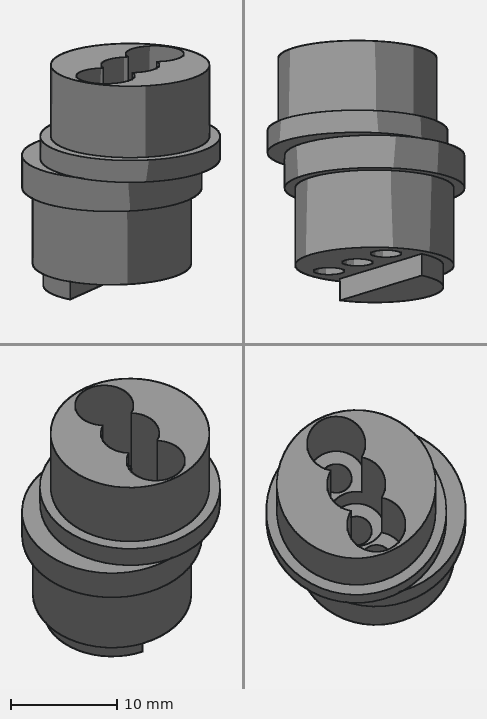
import cadquery as cq

body_diameter = 15.0
flange_diameter = 17.0
tab_diameter = 13.0
bore_diameter = 5.5
hole_diameter = 2.9

upper_offset = 2.0
hole_pitch = 4.5

tab_flat_offset = 0.72

height = 21.85
tab_top = 2.1
lower_body_top = 9.57
lower_flange_top = 12.72
upper_flange_top = 14.85

side_bore_floor = lower_flange_top
middle_bore_floor = lower_body_top


def cylinder(diameter, bottom, top, x=0.0, y=0.0):
    """Vertical cylinder between two heights."""
    return cq.Workplane("XY", origin=(x, y, bottom)).circle(diameter / 2).extrude(top - bottom)


def bottom_tab():
    """Segment of a disc, kept on the -X side of its flat."""
    disc = cylinder(tab_diameter, 0, tab_top)
    cutter = (
        cq.Workplane("XY")
        .center(-tab_flat_offset, 0)
        .rect(tab_diameter, tab_diameter)
        .extrude(tab_top)
        .translate((tab_diameter / 2, 0, 0))
    )
    return disc.cut(cutter)


result = (
    bottom_tab()
    .union(cylinder(body_diameter, tab_top, lower_body_top))
    .union(cylinder(flange_diameter, lower_body_top, lower_flange_top))
    .union(cylinder(flange_diameter, lower_flange_top, upper_flange_top, upper_offset))
    .union(cylinder(body_diameter, upper_flange_top, height, upper_offset))
)

for position in (-1, 0, 1):
    y = position * hole_pitch
    bore_floor = middle_bore_floor if position == 0 else side_bore_floor
    result = result.cut(cylinder(bore_diameter, bore_floor, height, upper_offset, y))
    result = result.cut(cylinder(hole_diameter, 0, height, upper_offset, y))